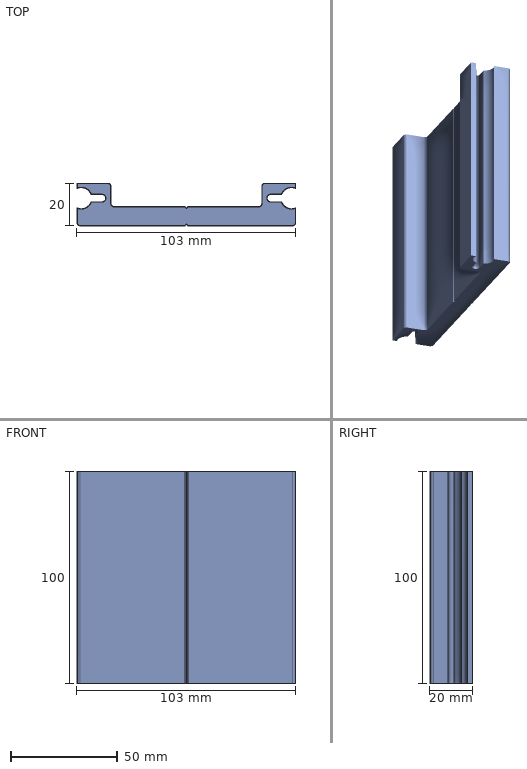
import cadquery as cq

width = 103.0
depth = 20.0
height = 100.0

web_thickness = 9.0
rail_width = 16.0
corner_radius = 1.5

groove_y = 13.0
mouth_radius = 5.0
mouth_inset = 2.0
slot_width = 3.5
slot_depth = 13.5

mark_width = 1.5
mark_depth = mark_width / 2

half_width = width / 2


def make_channel():
    """U-shaped body: flat web on the -Y side with a rail along each edge."""
    channel_width = width - 2 * rail_width
    channel_depth = depth - web_thickness
    channel_x = channel_width / 2
    body = cq.Workplane("XY").box(width, depth, height, centered=(True, False, False))
    channel = (
        cq.Workplane("XY")
        .box(channel_width, channel_depth, height, centered=(True, False, False))
        .translate((0, web_thickness, 0))
    )
    body = body.cut(channel)

    outer_corners = [(side * half_width, 0) for side in (-1, 1)]
    rail_corners = [(side * channel_x, depth) for side in (-1, 1)]
    root_corners = [(side * channel_x, web_thickness) for side in (-1, 1)]
    for x, y in outer_corners + rail_corners + root_corners:
        edge = body.edges(cq.selectors.NearestToPointSelector((x, y, height / 2)))
        body = edge.fillet(corner_radius)
    return body


def make_side_groove(side):
    """Cutter for the full-height groove in one outer face (side is -1 or 1)."""
    mouth_x = side * (half_width - mouth_inset)
    slot_end_x = side * (half_width - slot_depth + slot_width / 2)
    slot_length = abs(mouth_x - slot_end_x)
    mouth = cq.Workplane("XY").center(mouth_x, groove_y).circle(mouth_radius).extrude(height)
    slot = (
        cq.Workplane("XY")
        .center((mouth_x + slot_end_x) / 2, groove_y)
        .slot2D(slot_length + slot_width, slot_width)
        .extrude(height)
    )
    return mouth.union(slot)


def make_mark(surface_y, inward):
    """Cutter for a V groove at mid-width; inward is the Y direction into the web."""
    return (
        cq.Workplane("XY")
        .moveTo(-mark_width / 2, surface_y)
        .lineTo(mark_width / 2, surface_y)
        .lineTo(0, surface_y + inward * mark_depth)
        .close()
        .extrude(height)
    )


result = make_channel()
for side in (-1, 1):
    result = result.cut(make_side_groove(side))
result = result.cut(make_mark(0, 1))
result = result.cut(make_mark(web_thickness, -1))